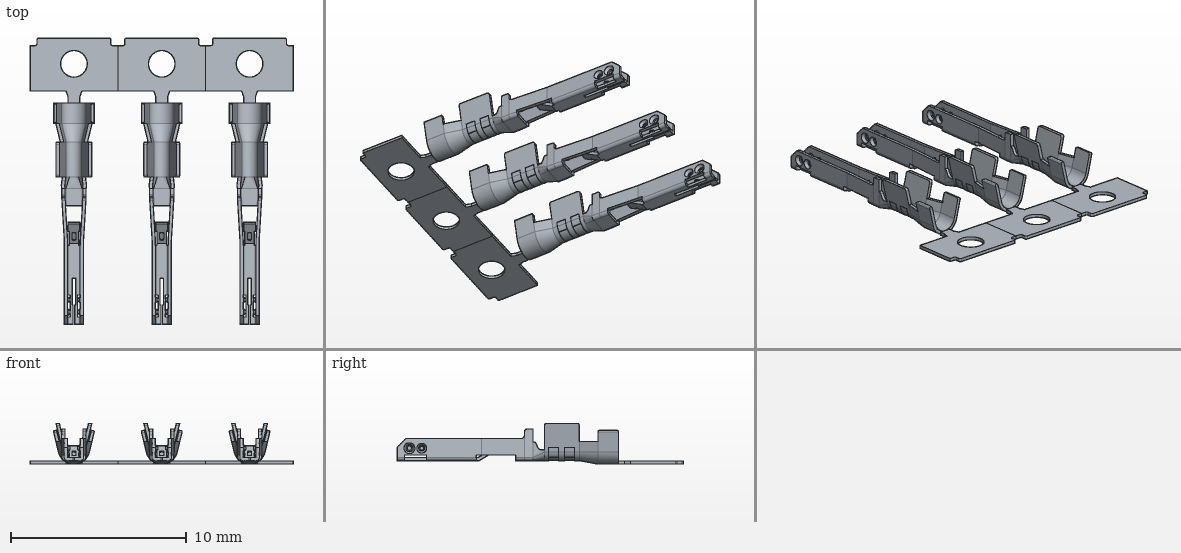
import cadquery as cq
import math

OVERALL_WIDTH = 15.0
OVERALL_LENGTH = 16.31
OVERALL_HEIGHT = 2.33
CONTACT_COUNT = 3
SHEET = 0.2
PITCH = OVERALL_WIDTH / CONTACT_COUNT

CARRIER_FRONT = 13.3
PILOT_DIAMETER = 1.5
PILOT_Y = 14.85
NOTCH_WIDTH = 0.39
NOTCH_DEPTH = 0.42
NOTCH_RADIUS = 0.1

NECK_HALF_WIDE = 0.45
NECK_HALF_NARROW = 0.35
NECK_TAPER_END = 12.97

INSULATION_REAR = 12.62
INSULATION_FRONT = 11.43
INSULATION_TOP = 1.94
INSULATION_RADIUS = 0.91
WIRE_REAR = 10.39
WIRE_FRONT = 8.38
WIRE_RADIUS = 0.65
WING_LEAN = 13.5
WING_CORNER_RADIUS = 0.13
INSULATION_TIP_RADIUS = 0.07
NECKDOWN_TOP = 1.3
FLOOR_ARC = 35.0

SERRATION_CENTERS = (9.82, 8.9)
SERRATION_LENGTH = 0.55
SERRATION_TOP = 0.95
SERRATION_DEPTH = 0.02

FLOOR = SHEET
BOX_TOP = 1.47
BOX_HALF_REAR = 0.7
BOX_HALF_FRONT = 0.55
BOX_OUTER_RADIUS = 0.2
BOX_INNER_RADIUS = 0.05
TAPER_FRONT = 4.8
RAMP_LOW = 0.83
RAMP_HIGH = 1.27
RAMP_START = 8.2

TAB_REAR = 7.75
TAB_FRONT = 7.25
TAB_TOP = 2.0
TAB_RADIUS = 0.13
TAB_ROOT_RADIUS = 0.2

WINDOW_REAR = 6.75
WINDOW_FRONT = 4.52
WINDOW_TOP = 0.52
LANCE_ROOT = 4.62
LANCE_HALF_WIDTH = 0.28
LANCE_LENGTH = 1.29
LANCE_ANGLE = 31.0
LANCE_HEAD_HALF_WIDTH = 0.35
LANCE_HEAD_LENGTH = 0.49
LANCE_DENT_LENGTH = 0.52
LANCE_DENT_WIDTH = 0.25
LANCE_DENT_DEPTH = 0.08
LANCE_DENT_PLACE = 0.45

TIP_CHAMFER = 0.5
SLOT_WIDTH = 0.18
SLOT_REAR = 2.63
SLOT_FRONT = 1.11
SLIT_WIDTH = 0.08
SIDE_WINDOW_REAR = 1.66
SIDE_WINDOW_FRONT = 0.42
FLOOR_TONGUE_HALF = 0.21

DIMPLES = ((1.4, 0.55, 0.35), (0.7, 0.62, 0.4))
DIMPLE_Z = 0.91
DIMPLE_DEPTH = 0.23
DIMPLE_BUMP = 0.15
DIMPLE_END_RATIO = 0.4

TALL = OVERALL_HEIGHT + 2 * SHEET
WIDE = PITCH


def block(x_half, y_front, y_rear, z_bottom, z_top):
    """Box centred on X = 0 between the given limits."""
    size = (2 * x_half, y_rear - y_front, z_top - z_bottom)
    return cq.Workplane("XY", origin=(0, y_front, z_bottom)).box(*size, centered=(True, False, False))


def on_circle(center_z, radius, degrees):
    """Point (x, z) on a circle about (0, center_z), at an angle from straight down."""
    angle = math.radians(degrees)
    return (radius * math.sin(angle), center_z - radius * math.cos(angle))


def channel_wire(y, outer, inner):
    """Closed, symmetric channel section at y, from an outer and an inner skin.

    A skin lists (x, z) points of its +X half: wall tip, wall foot, then either the bottom of one
    round arc, or the middle and end of a corner arc and the middle of the floor."""
    def point(xz, side):
        return cq.Vector(side * xz[0], y, xz[1])

    def line(start, start_side, end, end_side):
        return cq.Edge.makeLine(point(start, start_side), point(end, end_side))

    def arc(start, start_side, through, end, end_side):
        through_point = point(through, start_side)
        return cq.Edge.makeThreePointArc(point(start, start_side), through_point, point(end, end_side))

    edges = []
    for tip, foot, *bottom in (outer, inner):
        edges += [line(tip, side, foot, side) for side in (-1, 1)]
        if len(bottom) == 1:
            edges.append(arc(foot, -1, bottom[0], foot, 1))
            continue
        bend, floor_edge, middle = bottom
        edges += [arc(foot, side, bend, floor_edge, side) for side in (-1, 1)]
        if middle[1] < floor_edge[1]:
            edges.append(arc(floor_edge, -1, middle, floor_edge, 1))
        else:
            edges.append(line(floor_edge, -1, floor_edge, 1))
    edges += [line(outer[0], side, inner[0], side) for side in (-1, 1)]
    return cq.Wire.combine(edges)[0]


def barrel_wire(y, bottom, radius, tip_height, floor_arc=None):
    """Round-bottomed channel with leaning wings; the inner corner of each wing tip is at tip_height.

    With a floor_arc, the round bottom is split into a floor and two corners that match a box section."""
    center_z = bottom + radius
    foot_angle = 90 - WING_LEAN
    lean = math.radians(WING_LEAN)
    inner_foot = on_circle(center_z, radius - SHEET, foot_angle)
    wing_length = (tip_height - inner_foot[1]) / math.cos(lean)
    skins = []
    for r in (radius, radius - SHEET):
        foot = on_circle(center_z, r, foot_angle)
        skin = [(foot[0] + wing_length * math.sin(lean), foot[1] + wing_length * math.cos(lean)), foot]
        if floor_arc is not None:
            skin.append(on_circle(center_z, r, (foot_angle + floor_arc) / 2))
            skin.append(on_circle(center_z, r, floor_arc))
        skin.append(on_circle(center_z, r, 0))
        skins.append(skin)
    return channel_wire(y, *skins)


def box_wire(y, half_width):
    """Flat-bottomed channel with upright walls."""
    skins = []
    for half, bottom, radius in (
        (half_width, FLOOR, BOX_OUTER_RADIUS),
        (half_width - SHEET, FLOOR + SHEET, BOX_INNER_RADIUS),
    ):
        bend = on_circle(bottom + radius, radius, 45)
        skins.append((
            (half, TALL),
            (half, bottom + radius),
            (half - radius + bend[0], bend[1]),
            (half - radius, bottom),
            (0, bottom),
        ))
    return channel_wire(y, *skins)


def loft(rear_wire, front_wire):
    """Straight-sided transition between two channel sections."""
    return cq.Workplane(cq.Solid.makeLoft([rear_wire, front_wire], True))


def prism(rear_wire, length):
    """Channel of constant section, running from its rear wire toward the contact tip."""
    return cq.Workplane(cq.Solid.extrudeLinear(rear_wire, [], cq.Vector(0, -length, 0)))


def carrier():
    """One pitch of the carrier strip, with notched rear corners and a pilot hole."""
    plate = block(PITCH / 2, CARRIER_FRONT, OVERALL_LENGTH, 0, SHEET)
    for side in (-1, 1):
        notch = (
            cq.Workplane("XY", origin=(side * PITCH / 2, OVERALL_LENGTH, 0))
            .rect(2 * NOTCH_WIDTH, 2 * NOTCH_DEPTH)
            .extrude(SHEET)
            .edges("|Z")
            .fillet(NOTCH_RADIUS)
        )
        plate = plate.cut(notch)
    shoulder_x = PITCH / 2 - NOTCH_WIDTH
    shoulders = cq.selectors.BoxSelector(
        (-shoulder_x - SHEET / 2, OVERALL_LENGTH - SHEET / 2, -SHEET),
        (shoulder_x + SHEET / 2, OVERALL_LENGTH + SHEET / 2, 2 * SHEET),
    )
    plate = plate.edges("|Z").edges(shoulders).fillet(NOTCH_RADIUS)
    pilot = cq.Workplane("XY", origin=(0, PILOT_Y, 0)).circle(PILOT_DIAMETER / 2).extrude(SHEET)
    return plate.cut(pilot)


def neck():
    """Flat strip that narrows and ends against the rear of the barrel bottom."""
    rear, front = CARRIER_FRONT, INSULATION_REAR
    return (
        cq.Workplane("XY")
        .moveTo(-NECK_HALF_WIDE, rear)
        .lineTo(-NECK_HALF_NARROW, NECK_TAPER_END)
        .lineTo(-NECK_HALF_NARROW, front)
        .lineTo(NECK_HALF_NARROW, front)
        .lineTo(NECK_HALF_NARROW, NECK_TAPER_END)
        .lineTo(NECK_HALF_WIDE, rear)
        .close()
        .extrude(SHEET)
    )


def wing_trim(y_front, y_rear, top):
    """Side outline of a pair of wings, with rounded upper corners."""
    return block(WIDE / 2, y_front, y_rear, 0, top).edges("|X and >Z").fillet(WING_CORNER_RADIUS)


def insulation_barrel():
    """Open barrel with the wider, lower pair of wings."""
    section = barrel_wire(INSULATION_REAR, 0, INSULATION_RADIUS, INSULATION_TOP)
    barrel = prism(section, INSULATION_REAR - INSULATION_FRONT)
    barrel = barrel.edges("|Y").edges("<X or >X").fillet(INSULATION_TIP_RADIUS)
    return barrel.intersect(wing_trim(INSULATION_FRONT, INSULATION_REAR, INSULATION_TOP))


def neckdown():
    """Tapered channel between the two barrels."""
    channel = loft(
        barrel_wire(INSULATION_FRONT, 0, INSULATION_RADIUS, TALL),
        barrel_wire(WIRE_REAR, FLOOR, WIRE_RADIUS, TALL),
    )
    return channel.intersect(block(WIDE / 2, WIRE_REAR, INSULATION_FRONT, 0, NECKDOWN_TOP))


def wire_barrel():
    """Open barrel with the taller pair of wings and shallow pressed rectangles outside."""
    barrel = prism(barrel_wire(WIRE_REAR, FLOOR, WIRE_RADIUS, TALL), WIRE_REAR - WIRE_FRONT)
    barrel = barrel.intersect(wing_trim(WIRE_FRONT, WIRE_REAR, OVERALL_HEIGHT))
    for center in SERRATION_CENTERS:
        rear = center + SERRATION_LENGTH / 2
        kept_wire = barrel_wire(rear, FLOOR + SERRATION_DEPTH, WIRE_RADIUS - SERRATION_DEPTH, TALL)
        full = prism(barrel_wire(rear, FLOOR, WIRE_RADIUS, TALL), SERRATION_LENGTH)
        skin = full.cut(prism(kept_wire, SERRATION_LENGTH))
        outside = skin.cut(block(WIRE_RADIUS - SHEET, WIRE_FRONT, WIRE_REAR, FLOOR + SHEET, TALL))
        barrel = barrel.cut(outside.intersect(block(WIDE / 2, WIRE_FRONT, WIRE_REAR, 0, SERRATION_TOP)))
    return barrel


def entry_ramp():
    """Channel that turns from the round wire barrel into the box, with rising wall tops."""
    channel = loft(
        barrel_wire(WIRE_FRONT, FLOOR, WIRE_RADIUS, TALL, FLOOR_ARC),
        box_wire(TAB_REAR, BOX_HALF_REAR),
    )
    outline = (
        cq.Workplane("YZ", origin=(-WIDE / 2, 0, 0))
        .moveTo(WIRE_FRONT, 0)
        .lineTo(WIRE_FRONT, RAMP_LOW)
        .lineTo(RAMP_START, RAMP_LOW)
        .spline([(TAB_REAR, RAMP_HIGH)], tangents=[(-1, 0), (-1, 0)], includeCurrent=True)
        .lineTo(TAB_REAR, 0)
        .close()
        .extrude(WIDE)
    )
    return channel.intersect(outline)


def box_outline():
    """Side outline of the box walls: tab, straight top edge and chamfered tip."""
    return (
        cq.Workplane("YZ", origin=(-WIDE / 2, 0, 0))
        .moveTo(TAB_REAR, 0)
        .lineTo(TAB_REAR, TAB_TOP)
        .lineTo(TAB_FRONT + TAB_RADIUS, TAB_TOP)
        .radiusArc((TAB_FRONT, TAB_TOP - TAB_RADIUS), -TAB_RADIUS)
        .lineTo(TAB_FRONT, BOX_TOP + TAB_ROOT_RADIUS)
        .radiusArc((TAB_FRONT - TAB_ROOT_RADIUS, BOX_TOP), TAB_ROOT_RADIUS)
        .lineTo(TIP_CHAMFER, BOX_TOP)
        .lineTo(0, BOX_TOP - TIP_CHAMFER)
        .lineTo(0, 0)
        .close()
        .extrude(WIDE)
    )


def box_channel():
    """Channel that tapers toward the tip, with a window through its floor and lower walls."""
    channel = (
        prism(box_wire(TAB_REAR, BOX_HALF_REAR), TAB_REAR - TAB_FRONT)
        .union(loft(box_wire(TAB_FRONT, BOX_HALF_REAR), box_wire(TAPER_FRONT, BOX_HALF_FRONT)))
        .union(prism(box_wire(TAPER_FRONT, BOX_HALF_FRONT), TAPER_FRONT))
    )
    window = block(WIDE / 2, WINDOW_FRONT, WINDOW_REAR, 0, WINDOW_TOP)
    return channel.intersect(box_outline()).cut(window)


def lance():
    """Sloping tongue that starts at the floor, with a slotted dent in its upper face."""
    tilt = math.radians(LANCE_ANGLE)
    top_root = cq.Vector(0, LANCE_ROOT, FLOOR + SHEET)
    upward = cq.Vector(0, -math.sin(tilt), math.cos(tilt))
    along = cq.Vector(0, math.cos(tilt), math.sin(tilt))
    face = cq.Workplane(cq.Plane(origin=top_root, xDir=along, normal=upward))
    plate = face.center(LANCE_LENGTH / 2, 0).rect(LANCE_LENGTH, 2 * LANCE_HALF_WIDTH).extrude(-SHEET)
    head_center = LANCE_LENGTH - LANCE_HEAD_LENGTH / 2
    head = face.center(head_center, 0).rect(LANCE_HEAD_LENGTH, 2 * LANCE_HEAD_HALF_WIDTH).extrude(-SHEET)
    dent = (
        face.center(LANCE_DENT_PLACE, 0)
        .slot2D(LANCE_DENT_LENGTH, LANCE_DENT_WIDTH)
        .extrude(-LANCE_DENT_DEPTH)
    )
    root = block(LANCE_HALF_WIDTH, WINDOW_FRONT, LANCE_ROOT, FLOOR, FLOOR + SHEET)
    bend = cq.Workplane("YZ", origin=(-LANCE_HALF_WIDTH, LANCE_ROOT, FLOOR + SHEET))
    bend = (
        bend.lineTo(0, -SHEET)
        .lineTo(SHEET * math.tan(tilt / 2), -SHEET)
        .lineTo(SHEET * math.sin(tilt), -SHEET * math.cos(tilt))
        .close()
        .extrude(2 * LANCE_HALF_WIDTH)
    )
    return plate.union(head).union(root).union(bend).cut(dent)


def tip_openings():
    """Centre slot and slit in the floor, and the windows along both lower corners."""
    slot = block(SLOT_WIDTH / 2, SLOT_FRONT, SLOT_REAR, 0, BOX_TOP)
    slit = block(SLIT_WIDTH / 2, 0, SLOT_FRONT, 0, BOX_TOP)
    corners = block(WIDE / 2, SIDE_WINDOW_FRONT, SIDE_WINDOW_REAR, 0, WINDOW_TOP)
    tongue = block(FLOOR_TONGUE_HALF, SIDE_WINDOW_FRONT, SIDE_WINDOW_REAR, 0, WINDOW_TOP)
    return slot.union(slit).union(corners.cut(tongue))


def dimple_cone(side, y, x, diameter, depth):
    """Cone on one wall, narrowing from distance x off the centre plane toward that plane."""
    return cq.Workplane(cq.Solid.makeCone(
        diameter / 2,
        diameter * DIMPLE_END_RATIO / 2,
        depth,
        pnt=cq.Vector(side * x, y, DIMPLE_Z),
        dir=cq.Vector(-side, 0, 0),
    ))


def add_dimples(body):
    """Dents on the outside of the tip walls, with bumps inside."""
    for side in (-1, 1):
        for y, mouth, bump in DIMPLES:
            body = body.union(dimple_cone(side, y, BOX_HALF_FRONT - SHEET, bump, DIMPLE_BUMP))
            body = body.cut(dimple_cone(side, y, BOX_HALF_FRONT, mouth, DIMPLE_DEPTH))
    return body


def contact():
    """One strip segment with its crimp barrels and box contact, as a single solid."""
    body = carrier().union(neck())
    for piece in (insulation_barrel(), neckdown(), wire_barrel(), entry_ramp(), box_channel(), lance()):
        body = body.union(piece)
    return add_dimples(body.cut(tip_openings()))


one_contact = contact()
contacts = []
for index in range(CONTACT_COUNT):
    offset = (index - (CONTACT_COUNT - 1) / 2) * PITCH
    contacts.append(one_contact.translate((offset, 0, 0)).solids().val())

result = cq.Compound.makeCompound(contacts)